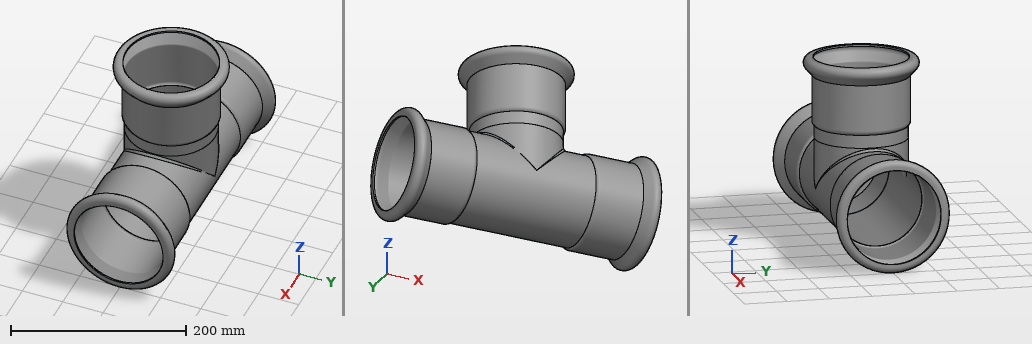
import cadquery as cq
import math

length = 310.0
tube_radius = 108.0 / 2
bore_radius = 104.0 / 2
wall = tube_radius - bore_radius

branch_top = 152.5
joint_height = 57.7
crotch_chamfer = 2.8

socket_radius = 112.8 / 2
mouth_radius = 110.5 / 2
bead_outer_radius = 132.7 / 2
bead_section_radius = 7.0
flare_depth = 20.8
shoulder_depth = 75.0
socket_depth = 79.7
stop_radius = 104.5 / 2
throat_blend = 1.0

bead_center_radius = bead_outer_radius - bead_section_radius


def flare_tangent_angle():
    """Angle, from the inward axis, of the bead radius that ends at the straight flare."""
    along = flare_depth - bead_section_radius
    across = socket_radius - bead_center_radius
    return math.atan2(across, along) + math.acos(bead_section_radius / math.hypot(along, across))


def bead_point(section_radius, angle):
    """Profile point (radius, depth) on a circle about the center of the bead section."""
    return (
        bead_center_radius + section_radius * math.sin(angle),
        bead_section_radius + section_radius * math.cos(angle),
    )


def revolve_downward(profile):
    """Turn a closed (radius, depth) profile about Z, with depth pointing down."""
    return profile.close().revolve(360, (0, 0, 0), (0, 1, 0)).rotate((0, 0, 0), (1, 0, 0), -90)


def socket_ring():
    """Socket wall of even thickness, with its mouth at Z = 0 and its axis along Z."""
    angle = flare_tangent_angle()
    middle_angle = (angle + math.pi) / 2
    inner_section = bead_section_radius - wall
    inner_radius = socket_radius - wall
    inner_flare_drop = inner_section - (inner_radius - bead_center_radius) * math.sin(angle)
    inner_flare_depth = bead_section_radius + inner_flare_drop / math.cos(angle)
    blend_start = (inner_radius, inner_flare_depth + throat_blend)
    blend_end = (
        inner_radius + throat_blend * math.cos(angle),
        inner_flare_depth - throat_blend * math.sin(angle),
    )
    shoulder_length = socket_depth - shoulder_depth
    shoulder_drop = socket_radius - tube_radius
    shoulder_arc = (shoulder_length**2 + shoulder_drop**2) / (2 * shoulder_drop)
    shoulder_center = socket_radius - shoulder_arc
    inner_arc = shoulder_arc - wall
    stop_angle = math.acos((stop_radius - shoulder_center) / inner_arc)
    stop_depth = shoulder_depth + inner_arc * math.sin(stop_angle)
    shoulder_middle = (
        shoulder_center + inner_arc * math.cos(stop_angle / 2),
        shoulder_depth + inner_arc * math.sin(stop_angle / 2),
    )
    profile = (
        cq.Workplane("XY")
        .moveTo(mouth_radius, 0)
        .lineTo(bead_center_radius, 0)
        .threePointArc(bead_point(bead_section_radius, middle_angle), bead_point(bead_section_radius, angle))
        .lineTo(socket_radius, flare_depth)
        .lineTo(socket_radius, shoulder_depth)
        .tangentArcPoint((tube_radius, socket_depth), relative=False)
        .lineTo(bore_radius, socket_depth)
        .lineTo(bore_radius, stop_depth)
        .lineTo(stop_radius, stop_depth)
        .threePointArc(shoulder_middle, (inner_radius, shoulder_depth))
        .lineTo(*blend_start)
        .tangentArcPoint(blend_end, relative=False)
        .lineTo(*bead_point(inner_section, angle))
        .threePointArc(bead_point(inner_section, middle_angle), (bead_center_radius, wall))
        .lineTo(mouth_radius, wall)
    )
    return revolve_downward(profile)


def run_socket(side):
    """Socket at one end of the run, with its mouth facing outward."""
    return socket_ring().rotate((0, 0, 0), (0, 1, 0), side * 90).translate((side * length / 2, 0, 0))


def run_tube(radius):
    """Solid cylinder along X between the two run sockets."""
    half_tube = length / 2 - socket_depth
    return cq.Workplane("YZ").workplane(offset=-half_tube).circle(radius).extrude(2 * half_tube)


def branch_tube(radius):
    """Solid cylinder from the run axis up to the joint."""
    return cq.Workplane("XY").circle(radius).extrude(joint_height)


def crotch_fill(side):
    """Half of an elliptic cylinder that bevels the crotch, tapering to nothing at the run's flanks."""
    rise = (2 * tube_radius + crotch_chamfer) / math.sqrt(2)
    thickness = math.sqrt(2) * crotch_chamfer
    plane = cq.Plane(origin=(0, 0, 0), xDir=(side, 0, 1), normal=(side, 0, -1))
    half_cylinder = (
        cq.Workplane(plane)
        .ellipseArc(rise, tube_radius, -90, 90, startAtCurrent=False)
        .close()
        .extrude(thickness / 2, both=True)
    )
    quadrant = cq.Workplane("XY").box(length, length, length).translate((side * length / 2, 0, length / 2))
    return half_cylinder.intersect(quadrant)


def make_tee():
    """Run with both sockets and the branch stub, up to the joint."""
    tee = run_tube(tube_radius).union(run_socket(-1)).union(run_socket(1))
    tee = tee.union(branch_tube(tube_radius))
    for side in (-1, 1):
        tee = tee.union(crotch_fill(side))
    bores = run_tube(bore_radius).union(branch_tube(bore_radius))
    return tee.cut(bores)


def make_branch_socket():
    """Socket and short tube standing on the joint."""
    tube_top = branch_top - socket_depth
    tube = (
        cq.Workplane("XY")
        .workplane(offset=joint_height)
        .circle(tube_radius)
        .circle(bore_radius)
        .extrude(tube_top - joint_height)
    )
    return tube.union(socket_ring().translate((0, 0, branch_top)))


tee = make_tee()
branch_socket = make_branch_socket()
result = cq.Compound.makeCompound([tee.solids().val(), branch_socket.solids().val()])